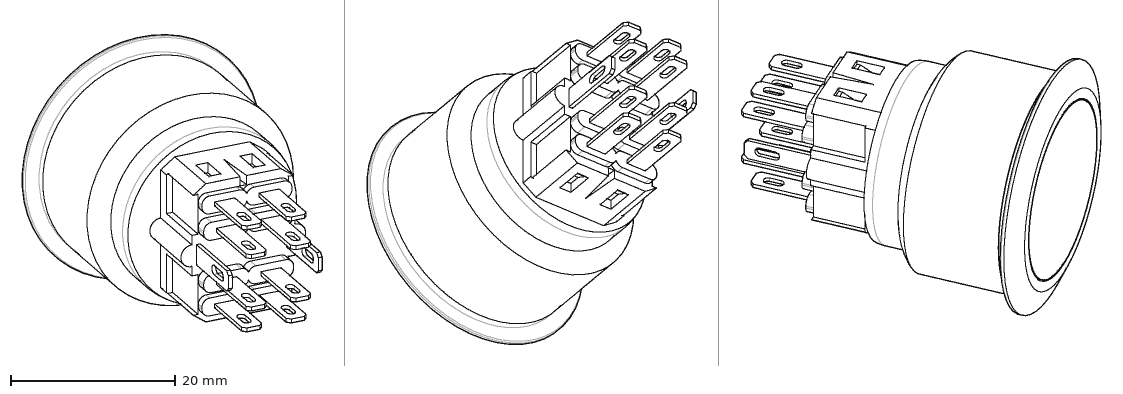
import cadquery as cq


length = 40.5
flange_radius = 32.0 / 2
face_radius = 12.7
bevel_end_x = 1.4
flange_edge_round = 0.15
flange_back_x = 1.95
body_radius = 27.9 / 2
neck_radius = 13.53
body_start_x = 2.95
groove_end_radius = 13.75
shoulder_start_x = 15.35
shoulder_end_x = 17.0
shoulder_bulge_x = 16.35
shoulder_bulge_radius = 12.88
collar_radius = 23.1 / 2
collar_end_radius = 22.8 / 2
collar_round_x = 20.35
collar_end_x = 21.5

gap_outer_radius = 22.8 / 2
gap_width = 0.15
gap_depth = 0.2

block_end_x = 30.2
block_length = block_end_x - collar_end_x
block_half_y = 6.95
block_half_z = 18.5 / 2
bevel_y = 1.9
bevel_z = 1.38
rib_radius = 1.45

recess_start_x = 23.13
recess_depth = 0.85
recess_inner_z = 2.7
recess_outer_z = 8.0

window_start_x = 24.8
ramp_start_x = 26.32
ramp_end_x = 27.95
window_end_x = 28.45
window_width = 1.6
window_floor_depth = 1.35
window_ledge_depth = 0.53
wedge_half_width = 0.45
wedge_depth = 1.2

tag_y = 3.0
tag_thickness = 0.53
tag_width = 2.7
tag_corner = 0.5
tag_embed = 0.8
outer_tag_z = 13.65 / 2
inner_tag_z = 7.0 / 2
outer_tag_end_x = 39.25
inner_tag_end_x = length
side_tag_y = 6.08
side_tag_end_x = 39.15
slot_length = 2.6
slot_width = 1.1
slot_end_gap = 1.35
side_slot_length = 3.2
side_slot_width = 1.2
side_slot_end_gap = 1.4
pad_length = 6.15
pad_height = 2.4
pad_round = 1.05
outer_pad_end_x = 31.23
inner_pad_end_x = 31.7


def box_between(x0, x1, y0, y1, z0, z1):
    return cq.Workplane("XY").box(x1 - x0, y1 - y0, z1 - z0, centered=False).translate((x0, y0, z0))


def housing():
    groove_middle_x = (flange_back_x + body_start_x) / 2
    profile = (
        cq.Workplane("XY")
        .moveTo(0, 0)
        .lineTo(0, face_radius)
        .lineTo(bevel_end_x, flange_radius)
        .lineTo(flange_back_x - flange_edge_round, flange_radius)
        .tangentArcPoint((flange_back_x, flange_radius - flange_edge_round), relative=False)
        .lineTo(flange_back_x, body_radius)
        .threePointArc((groove_middle_x, neck_radius), (body_start_x, groove_end_radius))
        .lineTo(body_start_x, body_radius)
        .lineTo(shoulder_start_x, body_radius)
        .threePointArc((shoulder_bulge_x, shoulder_bulge_radius), (shoulder_end_x, collar_radius))
        .lineTo(collar_round_x, collar_radius)
        .tangentArcPoint((collar_end_x, collar_end_radius), relative=False)
        .lineTo(collar_end_x, 0)
        .close()
    )
    return profile.revolve(360, (0, 0, 0), (1, 0, 0))


def button_gap():
    return (
        cq.Workplane("YZ")
        .circle(gap_outer_radius)
        .circle(gap_outer_radius - gap_width)
        .extrude(gap_depth)
    )


def contact_block():
    flat_half_y = block_half_y - bevel_y
    flat_half_z = block_half_z - bevel_z
    corners = [
        (block_half_y, -flat_half_z),
        (block_half_y, flat_half_z),
        (flat_half_y, block_half_z),
        (-flat_half_y, block_half_z),
        (-block_half_y, flat_half_z),
        (-block_half_y, -flat_half_z),
        (-flat_half_y, -block_half_z),
        (flat_half_y, -block_half_z),
    ]
    section_plane = cq.Workplane("YZ", origin=(collar_end_x, 0, 0))
    block = section_plane.polyline(corners).close().extrude(block_length)
    ribs = (
        section_plane.pushPoints([(-block_half_y, 0), (block_half_y, 0)])
        .circle(rib_radius)
        .extrude(block_length)
    )
    return block.union(ribs)


def side_recess():
    """Recess in the +Y side between the rib and the bevel, open at the back."""
    return box_between(
        recess_start_x, block_end_x,
        block_half_y - recess_depth, block_half_y,
        recess_inner_z, recess_outer_z,
    )


def latch_window():
    """Window in the block top at y = tag_y, whose floor ramps up to a ledge."""
    floor_z = block_half_z - window_floor_depth
    ledge_z = block_half_z - window_ledge_depth
    return (
        cq.Workplane("XZ", origin=(0, tag_y + window_width / 2, 0))
        .moveTo(window_start_x, block_half_z)
        .lineTo(window_start_x, floor_z)
        .lineTo(ramp_start_x, floor_z)
        .lineTo(ramp_end_x, ledge_z)
        .lineTo(window_end_x, ledge_z)
        .lineTo(window_end_x, block_half_z)
        .close()
        .extrude(window_width)
    )


def wedge_slot():
    """Slot in the block top that widens from a point toward the back."""
    return (
        cq.Workplane("XY", origin=(0, 0, block_half_z))
        .moveTo(window_start_x, 0)
        .lineTo(block_end_x, wedge_half_width)
        .lineTo(block_end_x, -wedge_half_width)
        .close()
        .extrude(-wedge_depth)
    )


def pad(end_x):
    """Rounded pad on the back of the block, centred on y = z = 0."""
    return (
        cq.Workplane("YZ", origin=(block_end_x, 0, 0))
        .rect(pad_length, pad_height)
        .extrude(end_x - block_end_x)
        .edges("|X")
        .fillet(pad_round)
    )


def tag(end_x, hole_length, hole_width, hole_end_gap):
    """Flat tag in the XY plane, centred on y = z = 0, with cut corners and a slotted eye."""
    start_x = block_end_x - tag_embed
    blade = (
        cq.Workplane("XY")
        .box(end_x - start_x, tag_width, tag_thickness)
        .translate(((start_x + end_x) / 2, 0, 0))
        .edges("|Z and >X")
        .chamfer(tag_corner)
    )
    eye = (
        cq.Workplane("XY", origin=(end_x - hole_end_gap - hole_length / 2, 0, 0))
        .slot2D(hole_length, hole_width)
        .extrude(tag_thickness, both=True)
    )
    return blade.cut(eye)


def four_way(shape):
    """The shape and its mirror images across the XZ and XY planes."""
    pair = shape.union(shape.mirror("XZ"))
    return pair.union(pair.mirror("XY"))


result = housing().cut(button_gap()).union(contact_block())
result = result.cut(four_way(side_recess())).cut(four_way(latch_window()))
result = result.cut(wedge_slot()).cut(wedge_slot().mirror("XY"))

tag_rows = [
    (outer_tag_z, outer_tag_end_x, outer_pad_end_x),
    (inner_tag_z, inner_tag_end_x, inner_pad_end_x),
]
for row_z, tag_end_x, pad_end_x in tag_rows:
    row_tag = tag(tag_end_x, slot_length, slot_width, slot_end_gap)
    terminal = pad(pad_end_x).union(row_tag).translate((0, tag_y, row_z))
    result = result.union(four_way(terminal))

side_tag = tag(side_tag_end_x, side_slot_length, side_slot_width, side_slot_end_gap)
for side in (-1, 1):
    result = result.union(side_tag.rotate((0, 0, 0), (1, 0, 0), 90).translate((0, side * side_tag_y, 0)))